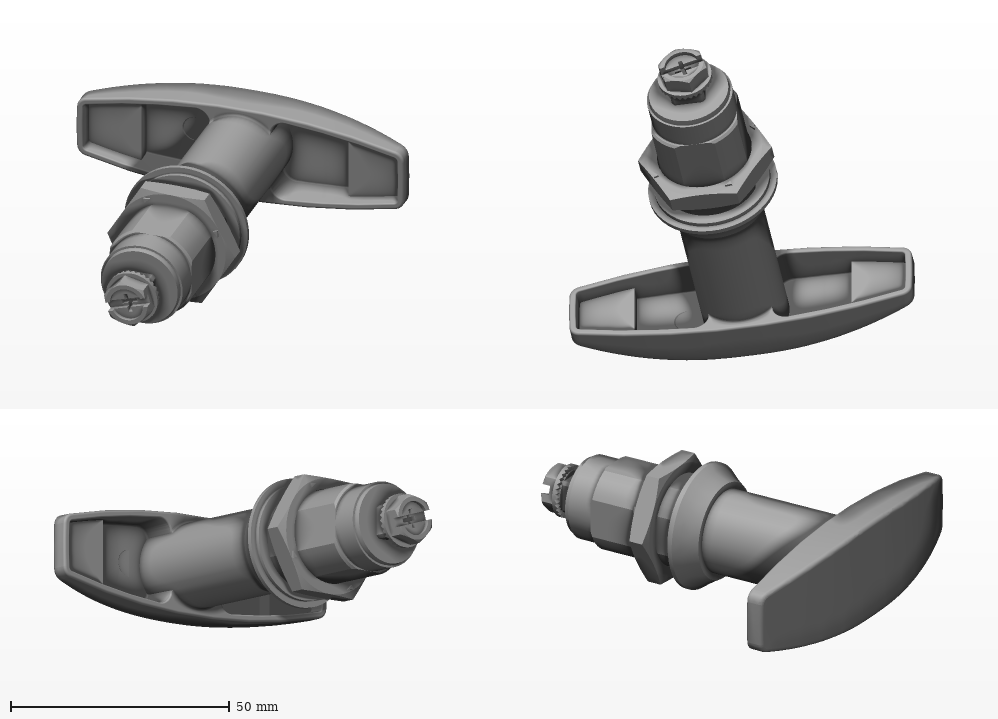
import cadquery as cq
import math


HANDLE_BACK_Y = 10.0
STEM_END_Y = -30.15
CONE_END_Y = -35.25
FLANGE_END_Y = -36.3
GASKET_END_Y = -37.3
NUT_BACK_Y = -42.2
NUT_FRONT_Y = -46.9
BARREL_END_Y = -60.1
COLLAR_STEP_Y = -66.1
COLLAR_END_Y = -67.4
SPINDLE_END_Y = -71.4
SCREW_FLANGE_END_Y = -72.75
SCREW_TIP_Y = -76.4

EDGE_MARGIN = 0.1

HANDLE_HALF_LENGTH = 39.9
HANDLE_HALF_WIDTH = 11.8
END_CORNER_X = 39.7
END_CORNER_Z = 7.0
END_CORNER_RADIUS = 2.6
CLEAR_WIDTH = 4 * HANDLE_HALF_WIDTH
SIDE_DRAFT = 1.0
BACK_FLAT_HALF = 4.9
BACK_RADIUS = 105.4
BACK_EDGE_RADIUS = 1.0
BACK_EDGE_MIN_Y = 3.9
RIM_EDGE_RADIUS = 0.6
POCKET_INSET = 1.55
POCKET_DRAFT = 5.0
POCKET_FLOOR_RADIUS = 0.4
POCKET_MOUTH_RADIUS = 0.35
POCKET_MID_Y = 8.5
POCKET_STEP_X = 25.2
POCKET_STEP_Y = 6.9
POCKET_SHELF_Y = 3.45
STEM_DIAMETER = 20.0
WEB_HALF_LENGTH = 7.4
STEM_FILLET_RADIUS = 0.5
WEB_CORNER_RADIUS = 3.45
SPOT_X = -13.6
SPOT_DIAMETER = 6.0
SPOT_SLOPE_WIDTH = 0.5
SPOT_FLOOR_Y = 8.0

FLANGE_DIAMETER = 30.0
FLANGE_BACK_DIAMETER = 23.15
FLANGE_MID_RADIUS = 13.1
BARREL_DIAMETER = 22.0
BARREL_ACROSS_FLATS = 20.0
BARREL_CHAMFER = 0.5
COLLAR_END_DIAMETER = 18.9
COLLAR_END_DRAFT = 10.0
GASKET_DIAMETER = 27.0
NUT_ACROSS_FLATS = 27.0
NUT_TURN = -1.4
NUT_CHAMFER_HEIGHT = 0.7
TOOTH_HEIGHT = 0.5
TOOTH_RADIUS = 12.7
TOOTH_POINTS = [(-0.5, 0.8), (0.6, 0.7), (0, -0.9)]
TOOTH_COUNT = 4
TOOTH_TURN = 26.3

BUSHING_DIAMETER = 14.0
SPINDLE_DIAMETER = 10.0
SPINDLE_SQUARE = 7.8
SCREW_FLANGE_DIAMETER = 12.5
SCREW_THREAD_DIAMETER = 6.0
SCREW_THREAD_LENGTH = 12.1
HEAD_ACROSS_FLATS = 10.0
HEAD_TURN = 17.0
HEAD_CHAMFER_HEIGHT = 0.5
HEAD_RECESS_DIAMETER = 7.95
HEAD_RECESS_DEPTH = 1.0
SLOT_WIDTH = 2.2
SLOT_DEPTH = 2.1
CROSS_LENGTH = 5.2
CROSS_WIDTH = 0.95
CROSS_DEPTH = 3.0
CROSS_FLOOR_LENGTH = 3.3
SERRATION_COUNT = 30
SERRATION_DEPTH = 0.7
SERRATION_FILL = 0.9


def section(y):
    """XZ workplane at height y; extruding goes toward -Y."""
    return cq.Workplane("XZ", origin=(0, y, 0))


def rod(diameter, y_start, y_end):
    """Round bar on the axis from y_start down to y_end."""
    return section(y_start).circle(diameter / 2).extrude(y_start - y_end)


def hexagon(across_flats, turn, y_start, y_end):
    """Hexagonal bar on the axis, turned about it from having a corner on +X."""
    corner_diameter = across_flats / math.cos(math.radians(30))
    bar = section(y_start).polygon(6, corner_diameter).extrude(y_start - y_end)
    return bar.rotate((0, 0, 0), (0, -1, 0), turn)


def revolved(points):
    """Turn a closed (radius, y) outline about the axis."""
    return cq.Workplane("XY").polyline(points).close().revolve(360, (0, 0, 0), (0, 1, 0))


def chamfered_end(corner_radius, flat_radius, chamfer, y_start, y_end):
    """Round envelope whose -Y end narrows in a cone; it chamfers the corners of a bar."""
    return revolved([
        (0, y_start),
        (corner_radius, y_start),
        (corner_radius, y_end + chamfer),
        (flat_radius, y_end),
        (0, y_end),
    ])


def crossbar_outline():
    """Outline of the crossbar at its rim, bowed on the long sides and slightly at the ends."""
    x, z = END_CORNER_X, END_CORNER_Z
    return (
        cq.Sketch()
        .arc((-x, z), (0, HANDLE_HALF_WIDTH), (x, z))
        .arc((x, z), (HANDLE_HALF_LENGTH, 0), (x, -z))
        .arc((x, -z), (0, -HANDLE_HALF_WIDTH), (-x, -z))
        .arc((-x, -z), (-HANDLE_HALF_LENGTH, 0), (-x, z))
        .assemble()
        .vertices()
        .fillet(END_CORNER_RADIUS)
        .reset()
    )


def back_drop(x):
    """How far the back of the crossbar has fallen away at x."""
    run = x - BACK_FLAT_HALF
    return BACK_RADIUS - math.sqrt(BACK_RADIUS ** 2 - run ** 2)


def back_envelope():
    """Everything in front of the back surface: flat in the middle, an arc toward each end."""
    end = HANDLE_HALF_LENGTH + 1.7
    middle = (end + BACK_FLAT_HALF) / 2
    end_y = HANDLE_BACK_Y - back_drop(end)
    middle_y = HANDLE_BACK_Y - back_drop(middle)
    return (
        cq.Workplane("XY", origin=(0, 0, -CLEAR_WIDTH / 2))
        .moveTo(-end, 0)
        .lineTo(-end, end_y)
        .threePointArc((-middle, middle_y), (-BACK_FLAT_HALF, HANDLE_BACK_Y))
        .lineTo(BACK_FLAT_HALF, HANDLE_BACK_Y)
        .threePointArc((middle, middle_y), (end, end_y))
        .lineTo(end, 0)
        .close()
        .extrude(CLEAR_WIDTH)
    )


def pocket_floor_envelope():
    """Everything in front of the pocket floor: bowed in the middle, a flat shelf at each end."""
    end = HANDLE_HALF_LENGTH
    return (
        cq.Workplane("XY", origin=(0, 0, -CLEAR_WIDTH / 2))
        .moveTo(-end, 0)
        .lineTo(-end, POCKET_SHELF_Y)
        .lineTo(-POCKET_STEP_X, POCKET_SHELF_Y)
        .lineTo(-POCKET_STEP_X, POCKET_STEP_Y)
        .threePointArc((0, POCKET_MID_Y), (POCKET_STEP_X, POCKET_STEP_Y))
        .lineTo(POCKET_STEP_X, POCKET_SHELF_Y)
        .lineTo(end, POCKET_SHELF_Y)
        .lineTo(end, 0)
        .close()
        .extrude(CLEAR_WIDTH)
    )


def pockets():
    """Two drafted hollows, one on each side of the solid webs that hold the stem."""
    rim = crossbar_outline().wires().val()
    opening = cq.Sketch().face(rim.offset2D(-POCKET_INSET)[0])
    hollow = section(0).placeSketch(opening).extrude(-HANDLE_BACK_Y, taper=POCKET_DRAFT)
    webs = section(0).rect(2 * WEB_HALF_LENGTH, CLEAR_WIDTH).extrude(-HANDLE_BACK_Y)
    hollow = hollow.cut(webs)
    web_corners = cq.selectors.BoxSelector(
        (-WEB_HALF_LENGTH - EDGE_MARGIN, -0.9, -HANDLE_HALF_WIDTH),
        (WEB_HALF_LENGTH + EDGE_MARGIN, HANDLE_BACK_Y + 0.9, HANDLE_HALF_WIDTH),
    )
    hollow = hollow.edges(web_corners).edges("not #Y").fillet(WEB_CORNER_RADIUS)
    hollow = hollow.intersect(pocket_floor_envelope())
    floor_edges = cq.selectors.BoxSelector(
        (-POCKET_STEP_X + EDGE_MARGIN, POCKET_STEP_Y - EDGE_MARGIN, -HANDLE_HALF_WIDTH),
        (POCKET_STEP_X - EDGE_MARGIN, HANDLE_BACK_Y, HANDLE_HALF_WIDTH),
    )
    return hollow.edges(floor_edges).fillet(POCKET_FLOOR_RADIUS)


def stem_fillets():
    """Fillets between the stem and the faces of the two webs."""
    stem_radius = STEM_DIAMETER / 2
    outer_radius = stem_radius + STEM_FILLET_RADIUS
    arc_offset = STEM_FILLET_RADIUS * (1 - math.sqrt(0.5))
    ring = (
        cq.Workplane("XY")
        .moveTo(0, 0)
        .lineTo(outer_radius, 0)
        .threePointArc((stem_radius + arc_offset, -arc_offset), (stem_radius, -STEM_FILLET_RADIUS))
        .lineTo(0, -STEM_FILLET_RADIUS)
        .close()
        .revolve(360, (0, 0, 0), (0, 1, 0))
    )
    webs = section(0).rect(2 * WEB_HALF_LENGTH, CLEAR_WIDTH).extrude(STEM_FILLET_RADIUS)
    return ring.intersect(webs)


def back_rim_edges():
    """Selects the edges around the back surface, without the two tangent lines across it."""
    reach = HANDLE_HALF_LENGTH + 0.9
    top_y = HANDLE_BACK_Y + EDGE_MARGIN
    around = cq.selectors.BoxSelector((-reach, BACK_EDGE_MIN_Y, -reach), (reach, top_y, reach))
    across_reach = BACK_FLAT_HALF + EDGE_MARGIN
    across = cq.selectors.BoxSelector(
        (-across_reach, BACK_EDGE_MIN_Y, -EDGE_MARGIN),
        (across_reach, top_y, EDGE_MARGIN),
    )
    return around - across


def make_handle():
    crossbar = section(0).placeSketch(crossbar_outline()).extrude(-HANDLE_BACK_Y, taper=-SIDE_DRAFT)
    crossbar = crossbar.intersect(back_envelope())
    crossbar = crossbar.edges(back_rim_edges()).fillet(BACK_EDGE_RADIUS)
    crossbar = crossbar.faces("<Y").edges().fillet(RIM_EDGE_RADIUS)
    crossbar = crossbar.cut(pockets())
    mouth_edges = [
        edge
        for mouth in crossbar.faces("<Y").val().innerWires()
        for edge in mouth.Edges()
    ]
    crossbar = crossbar.newObject(mouth_edges).fillet(POCKET_MOUTH_RADIUS)
    spot = (
        section(SPOT_FLOOR_Y)
        .center(SPOT_X, 0)
        .circle(SPOT_DIAMETER / 2)
        .workplane(offset=SPOT_SLOPE_WIDTH)
        .circle(SPOT_DIAMETER / 2 + SPOT_SLOPE_WIDTH)
        .loft()
    )
    stem = rod(STEM_DIAMETER, POCKET_MID_Y, STEM_END_Y)
    return crossbar.cut(spot).union(stem).union(stem_fillets())


def make_housing():
    back_radius = FLANGE_BACK_DIAMETER / 2
    flange_radius = FLANGE_DIAMETER / 2
    flange = (
        cq.Workplane("XY")
        .moveTo(0, STEM_END_Y)
        .lineTo(back_radius, STEM_END_Y)
        .threePointArc((FLANGE_MID_RADIUS, (STEM_END_Y + CONE_END_Y) / 2), (flange_radius, CONE_END_Y))
        .lineTo(flange_radius, FLANGE_END_Y)
        .lineTo(0, FLANGE_END_Y)
        .close()
        .revolve(360, (0, 0, 0), (0, 1, 0))
    )
    barrel = rod(BARREL_DIAMETER, FLANGE_END_Y, BARREL_END_Y).faces("<Y").chamfer(BARREL_CHAMFER)
    flats = (
        section(FLANGE_END_Y)
        .rect(BARREL_ACROSS_FLATS, BARREL_ACROSS_FLATS)
        .extrude(FLANGE_END_Y - BARREL_END_Y)
    )
    collar = rod(BARREL_ACROSS_FLATS, BARREL_END_Y, COLLAR_STEP_Y)
    collar_end = (
        section(COLLAR_STEP_Y)
        .circle(COLLAR_END_DIAMETER / 2)
        .extrude(COLLAR_STEP_Y - COLLAR_END_Y, taper=COLLAR_END_DRAFT)
    )
    bore = rod(BUSHING_DIAMETER, STEM_END_Y, COLLAR_END_Y)
    return flange.union(barrel.intersect(flats)).union(collar).union(collar_end).cut(bore)


def make_gasket():
    hole = rod(BARREL_DIAMETER, FLANGE_END_Y, GASKET_END_Y)
    return rod(GASKET_DIAMETER, FLANGE_END_Y, GASKET_END_Y).cut(hole)


def nut_tooth(angle):
    """Small triangular tooth on the front face of the nut."""
    return (
        section(NUT_FRONT_Y)
        .transformed(rotate=(0, 0, angle))
        .center(TOOTH_RADIUS, 0)
        .polyline(TOOTH_POINTS)
        .close()
        .extrude(TOOTH_HEIGHT)
    )


def make_nut():
    nut = hexagon(NUT_ACROSS_FLATS, NUT_TURN, NUT_BACK_Y, NUT_FRONT_Y)
    flat_radius = NUT_ACROSS_FLATS / 2
    corner_radius = flat_radius / math.cos(math.radians(30))
    hole_radius = BARREL_DIAMETER / 2
    nut = nut.intersect(revolved([
        (hole_radius, NUT_BACK_Y),
        (flat_radius, NUT_BACK_Y),
        (corner_radius, NUT_BACK_Y - NUT_CHAMFER_HEIGHT),
        (corner_radius, NUT_FRONT_Y + NUT_CHAMFER_HEIGHT),
        (flat_radius, NUT_FRONT_Y),
        (hole_radius, NUT_FRONT_Y),
    ]))
    for index in range(TOOTH_COUNT):
        nut = nut.union(nut_tooth(TOOTH_TURN + index * 360 / TOOTH_COUNT))
    return nut


def make_bushing():
    hole = rod(SPINDLE_DIAMETER, STEM_END_Y, COLLAR_END_Y)
    return rod(BUSHING_DIAMETER, STEM_END_Y, COLLAR_END_Y).cut(hole)


def make_spindle():
    round_part = rod(SPINDLE_DIAMETER, STEM_END_Y, COLLAR_END_Y)
    square_length = COLLAR_END_Y - SPINDLE_END_Y
    square = section(COLLAR_END_Y).rect(SPINDLE_SQUARE, SPINDLE_SQUARE).extrude(square_length)
    square = square.intersect(rod(SPINDLE_DIAMETER, COLLAR_END_Y, SPINDLE_END_Y))
    thread_hole = rod(SCREW_THREAD_DIAMETER, SPINDLE_END_Y + SCREW_THREAD_LENGTH, SPINDLE_END_Y)
    return round_part.union(square).cut(thread_hole)


def serrated_flange():
    """Flange whose face toward the spindle carries radial V-grooves."""
    flange = rod(SCREW_FLANGE_DIAMETER, SPINDLE_END_Y, SCREW_FLANGE_END_Y)
    radius = SCREW_FLANGE_DIAMETER / 2
    inner_radius = SPINDLE_DIAMETER / 2
    half_width = math.pi * radius / SERRATION_COUNT * SERRATION_FILL
    groove = (
        cq.Workplane("YZ", origin=(inner_radius, SPINDLE_END_Y, 0))
        .polyline([(0, -half_width), (0, half_width), (-SERRATION_DEPTH, 0)])
        .close()
        .extrude(radius)
    )
    for index in range(SERRATION_COUNT):
        flange = flange.cut(groove.rotate((0, 0, 0), (0, 1, 0), index * 360 / SERRATION_COUNT))
    return flange


def make_screw():
    flat_radius = HEAD_ACROSS_FLATS / 2
    corner_radius = flat_radius / math.cos(math.radians(30))
    head = hexagon(HEAD_ACROSS_FLATS, HEAD_TURN + 30, SCREW_FLANGE_END_Y, SCREW_TIP_Y)
    head = head.intersect(chamfered_end(
        corner_radius, flat_radius, HEAD_CHAMFER_HEIGHT, SCREW_FLANGE_END_Y, SCREW_TIP_Y
    ))
    recess = rod(HEAD_RECESS_DIAMETER, SCREW_TIP_Y + HEAD_RECESS_DEPTH, SCREW_TIP_Y)
    slot = (
        section(SCREW_TIP_Y + SLOT_DEPTH)
        .transformed(rotate=(0, 0, HEAD_TURN))
        .rect(2 * SCREW_FLANGE_DIAMETER, SLOT_WIDTH)
        .extrude(SLOT_DEPTH)
    )
    head = head.cut(recess).cut(slot)
    cross_arm = (
        cq.Workplane("XY", origin=(0, 0, -CROSS_WIDTH / 2))
        .polyline([
            (-CROSS_LENGTH / 2, SCREW_TIP_Y),
            (CROSS_LENGTH / 2, SCREW_TIP_Y),
            (CROSS_FLOOR_LENGTH / 2, SCREW_TIP_Y + CROSS_DEPTH),
            (-CROSS_FLOOR_LENGTH / 2, SCREW_TIP_Y + CROSS_DEPTH),
        ])
        .close()
        .extrude(CROSS_WIDTH)
    )
    for arm_turn in (HEAD_TURN, HEAD_TURN + 90):
        head = head.cut(cross_arm.rotate((0, 0, 0), (0, -1, 0), arm_turn))
    thread = rod(SCREW_THREAD_DIAMETER, SPINDLE_END_Y + SCREW_THREAD_LENGTH, SPINDLE_END_Y)
    return serrated_flange().union(head).union(thread)


handle = make_handle()
housing = make_housing()
gasket = make_gasket()
nut = make_nut()
bushing = make_bushing()
spindle = make_spindle()
screw = make_screw()

result = cq.Compound.makeCompound([
    handle.val(),
    housing.val(),
    gasket.val(),
    nut.val(),
    bushing.val(),
    spindle.val(),
    screw.val(),
])